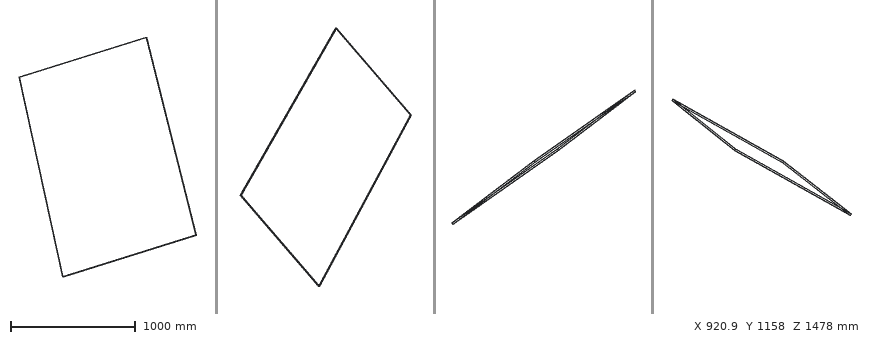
import cadquery as cq
import math

height = 1478.0
thickness = 15.0
tilt_degrees = 58.25

bottom_width = 1158.0
top_width = 1105.0
front_skew = 1.0

edge_bevel = 1.0
end_bevel = 3.0

tilt = math.radians(tilt_degrees)
slope_length = (height - thickness * math.cos(tilt)) / math.sin(tilt)

upper_plane = cq.Plane(
    origin=(0, 0, 0),
    xDir=(-math.cos(tilt), 0, math.sin(tilt)),
    normal=(-math.sin(tilt), 0, -math.cos(tilt)),
)


def outline(plane, edge_inset, end_inset):
    """Panel outline on a plane, with its +Y edge and top end moved inwards."""
    return (
        cq.Workplane(plane)
        .moveTo(0, 0)
        .lineTo(slope_length - end_inset, front_skew)
        .lineTo(slope_length - end_inset, front_skew + top_width - edge_inset)
        .lineTo(0, bottom_width - edge_inset)
        .close()
        .wires()
        .val()
    )


lower_plane = cq.Plane(
    origin=upper_plane.zDir * thickness,
    xDir=upper_plane.xDir,
    normal=upper_plane.zDir,
)
faces = [outline(upper_plane, 0, 0), outline(lower_plane, edge_bevel, end_bevel)]
result = cq.Workplane(cq.Solid.makeLoft(faces, True))